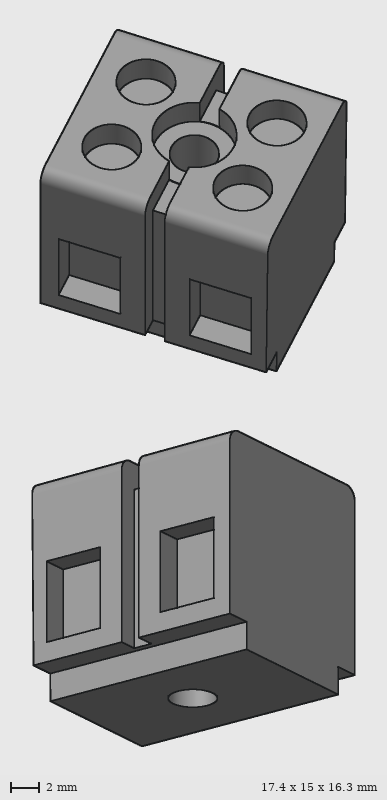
import cadquery as cq
import math


cut_margin = 1.0

top_width = 17.38
depth = 15.0
height = 16.26
tilt = math.radians(0.54)
corner_radius = 1.0

foot_height = 2.1
foot_inset = 2.0

centre_x = 8.75
pole_spacing = 10.0
pole_xs = [centre_x - pole_spacing / 2, centre_x + pole_spacing / 2]
sides = [-1, 1]

groove_width = 1.5
groove_side_depth = 1.5
groove_floor_z = 14.16

mount_diameter = 3.5
counterbore_diameter = 6.0
counterbore_floor_z = 14.1

well_diameter = 4.2
well_offset_y = 3.25
well_floor_z = counterbore_floor_z

window_width = 4.7
window_bottom_z = 3.6
window_top_z = 9.75
window_depth = 2.0


def make_box(x_range, y_range, z_range):
    lows, highs = zip(x_range, y_range, z_range)
    sizes = [high - low for low, high in zip(lows, highs)]
    return cq.Workplane("XY").box(*sizes, centered=False).translate(lows)


def make_bore(x, y, diameter, floor_z):
    bore = cq.Workplane("XY", origin=(x, y, floor_z)).circle(diameter / 2)
    return bore.extrude(height + cut_margin - floor_z)


def make_body():
    right_top_z = height - top_width * math.tan(tilt)
    bottom_width = top_width - right_top_z * math.tan(tilt)
    outline = [(0, 0), (bottom_width, 0), (top_width, right_top_z), (0, height)]
    body = cq.Workplane("XZ").polyline(outline).close().extrude(depth / 2, both=True)
    body = body.faces(">Z").edges("<Y or >Y").fillet(corner_radius)
    return body


def cut_foot_steps(body):
    x_range = (-cut_margin, top_width + cut_margin)
    z_range = (-cut_margin, foot_height)
    for side in sides:
        y_range = sorted([side * (depth / 2 - foot_inset), side * (depth / 2 + cut_margin)])
        body = body.cut(make_box(x_range, y_range, z_range))
    return body


def cut_groove(body):
    x_range = (centre_x - groove_width / 2, centre_x + groove_width / 2)
    y_outer = depth / 2 + cut_margin
    z_top = height + cut_margin
    body = body.cut(make_box(x_range, (-y_outer, y_outer), (groove_floor_z, z_top)))
    for side in sides:
        y_range = sorted([side * (depth / 2 - groove_side_depth), side * y_outer])
        body = body.cut(make_box(x_range, y_range, (foot_height, z_top)))
    return body


def cut_mounting_hole(body):
    body = body.cut(make_bore(centre_x, 0, counterbore_diameter, counterbore_floor_z))
    return body.cut(make_bore(centre_x, 0, mount_diameter, -cut_margin))


def cut_screw_wells(body):
    for x in pole_xs:
        for side in sides:
            body = body.cut(make_bore(x, side * well_offset_y, well_diameter, well_floor_z))
    return body


def cut_wire_windows(body):
    for x in pole_xs:
        x_range = (x - window_width / 2, x + window_width / 2)
        for side in sides:
            y_range = sorted([side * (depth / 2 - window_depth), side * (depth / 2 + cut_margin)])
            body = body.cut(make_box(x_range, y_range, (window_bottom_z, window_top_z)))
    return body


result = make_body()
result = cut_foot_steps(result)
result = cut_groove(result)
result = cut_mounting_hole(result)
result = cut_screw_wells(result)
result = cut_wire_windows(result)